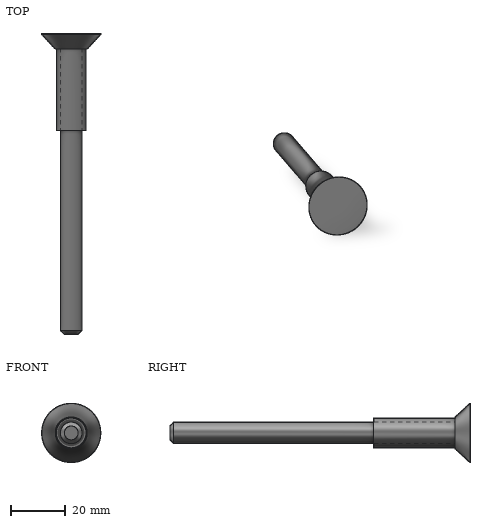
import cadquery as cq

total_length = 110.7

head_diameter = 21.8
head_neck_diameter = 11.7
head_rim_thickness = 0.3
head_thickness = 5.8

sleeve_diameter = 11.0
sleeve_length = 30.0

rod_diameter = 8.0
rod_tip_chamfer = 1.4

head_front_y = -head_thickness
rod_length = total_length - head_thickness


def plane_facing_minus_y(y):
    """Work plane across the axis at the given Y, extruding towards -Y."""
    return cq.Workplane("XZ", origin=(0, y, 0))


def make_head():
    """Solid cone with a thin cylindrical rim at its wide end."""
    rim_radius = head_diameter / 2
    profile = (
        cq.Workplane("XY")
        .moveTo(0, 0)
        .lineTo(rim_radius, 0)
        .lineTo(rim_radius, -head_rim_thickness)
        .lineTo(head_neck_diameter / 2, head_front_y)
        .lineTo(0, head_front_y)
        .close()
    )
    return profile.revolve(360, (0, 0, 0), (0, 1, 0))


def make_sleeve():
    """Plain tube in front of the head, bored to fit the rod."""
    return (
        plane_facing_minus_y(head_front_y)
        .circle(sleeve_diameter / 2)
        .circle(rod_diameter / 2)
        .extrude(sleeve_length)
    )


def make_rod():
    """Round rod from the front of the head to its chamfered free end."""
    return (
        plane_facing_minus_y(head_front_y)
        .circle(rod_diameter / 2)
        .extrude(rod_length)
        .faces("<Y")
        .chamfer(rod_tip_chamfer)
    )


head = make_head()
sleeve = make_sleeve()
rod = make_rod()

result = cq.Compound.makeCompound([head.val(), sleeve.val(), rod.val()])